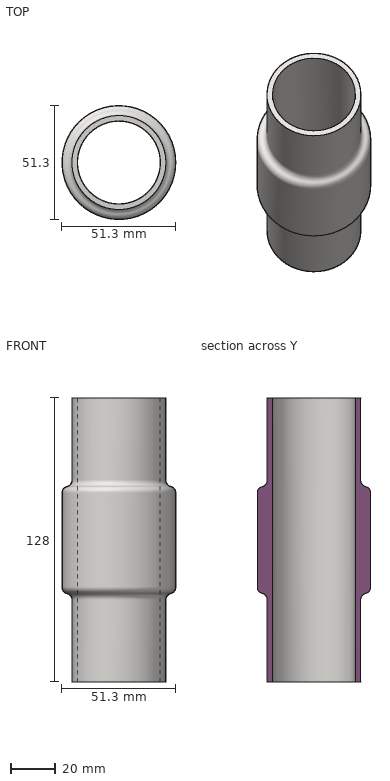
import cadquery as cq
import math

length = 128.0
pipe_diameter = 42.4
body_diameter = 51.3
bore_diameter = 37.2
body_straight_length = 42.5
shoulder_radius = 3.0

pipe_radius = pipe_diameter / 2
body_radius = body_diameter / 2
bore_radius = bore_diameter / 2
half_length = length / 2
half_body = body_straight_length / 2

arc_step = (body_radius - pipe_radius) / 2
arc_angle = math.acos(1 - arc_step / shoulder_radius)
arc_height = shoulder_radius * math.sin(arc_angle)
half_arc_step = shoulder_radius * (1 - math.cos(arc_angle / 2))
half_arc_height = shoulder_radius * math.sin(arc_angle / 2)
half_shouldered_body = half_body + 2 * arc_height


def shoulder_points(side):
    """Points of one shoulder from body to pipe; side is +1 for the top, -1 for the bottom."""
    return [
        (body_radius, side * half_body),
        (body_radius - half_arc_step, side * (half_body + half_arc_height)),
        (body_radius - arc_step, side * (half_body + arc_height)),
        (pipe_radius + half_arc_step, side * (half_shouldered_body - half_arc_height)),
        (pipe_radius, side * half_shouldered_body),
    ]


def add_shoulder(section, points):
    """Draw a straight run to the shoulder, then its two arcs."""
    start, first_mid, middle, second_mid, end = points
    return (
        section.lineTo(*start)
        .threePointArc(first_mid, middle)
        .threePointArc(second_mid, end)
    )


def make_coupling():
    """Revolve the wall section around the Z axis."""
    section = (
        cq.Workplane("XZ")
        .moveTo(bore_radius, -half_length)
        .lineTo(pipe_radius, -half_length)
    )
    section = add_shoulder(section, shoulder_points(-1)[::-1])
    section = add_shoulder(section, shoulder_points(1))
    section = (
        section.lineTo(pipe_radius, half_length)
        .lineTo(bore_radius, half_length)
        .close()
    )
    return section.revolve(360, (0, 0, 0), (0, 1, 0))


result = make_coupling()